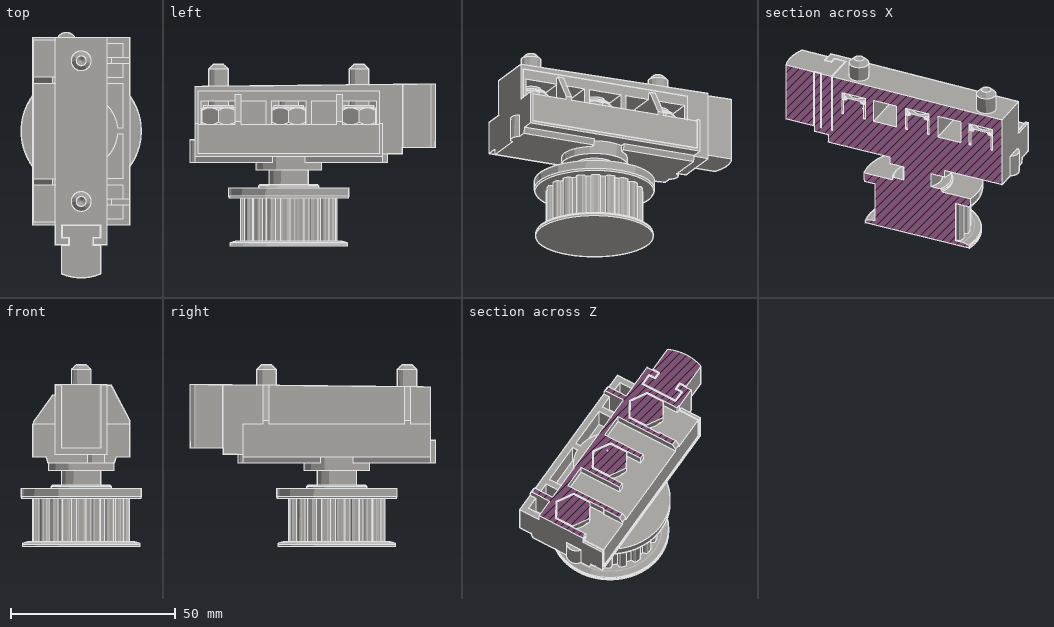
import cadquery as cq
import math


LOWER_FLANGE_RADIUS = 17.9
LOWER_FLANGE_EDGE = 0.7
LOWER_FLANGE_SHOULDER = 1.1
LOWER_FLANGE_SHOULDER_RADIUS = 17.75
LOWER_FLANGE_HEIGHT = 1.65
LOWER_FLANGE_FLAT_RADIUS = 15.8
TOOTH_COUNT = 19
TOOTH_TIP_RADIUS = 14.73
TOOTH_DEPTH = 1.3
TOOTH_GAP_FLOOR = 1.5
TOOTH_FLANK_ANGLE = 25.0
TOOTH_TIP_ROUND = 0.4
RIM_OVERLAP = 1.0
TEETH_TOP = 14.6
UPPER_FLANGE_RADIUS = 36.6 / 2
UPPER_FLANGE_TOP = 17.75
UPPER_FLANGE_BEVEL_SIDE = 0.25
UPPER_FLANGE_BEVEL_HEIGHT = 0.6
HUB_RADIUS = 9.18
HUB_TOP = 18.7
HUB_CHAMFER = 0.4
SHAFT_RADIUS = 12.0 / 2
COLLAR_BOTTOM = 23.1
COLLAR_RADIUS = 20.0 / 2

KEEL_BOTTOM = 25.4
KEEL_BOTTOM_HALF_WIDTH = 10.1
KEEL_TOP_HALF_WIDTH = 10.65
KEEL_GAP = 9.9
BASE_BOTTOM = 27.2
BASE_TOP = 37.3
BASE_HALF_WIDTH = 14.75
BASE_HALF_LENGTH = 28.5

RECESS_DEPTH = 0.25
RECESS_BOTTOM = 28.1
RECESS_TOP = 47.2
RECESS_HALF_LENGTH = 27.6
LEDGE_TOP = 36.9

BLOCK_HALF_WIDTH = 7.9
BLOCK_FRONT = -34.5
BLOCK_BOTTOM = 28.05
TOP_AT_BACK = 48.55
TOP_SLOPE = math.tan(math.radians(0.6))

WINDOW_TOP = 44.1
PLAIN_WINDOW_BACK = 6.0
NUT_WINDOW_WIDTH = 10.5
PLAIN_WINDOW_WIDTH = 7.55

BOLT_OFFSET = 21.35
PIN_POSITIONS = (-BOLT_OFFSET, BOLT_OFFSET)
BOLT_POSITIONS = (-BOLT_OFFSET, 0, BOLT_OFFSET)
PIN_RADIUS = 6.0 / 2
PIN_TOP = 55.3
PIN_CHAMFER = 1.5
PIN_CENTRE_DEPTH = 1.0
NUT_ACROSS_FLATS = 10.1
NUT_TOP = 42.0
NUT_CORNER_CUT = 0.75
WASHER_RADIUS = 9.18 / 2
WASHER_TOP = 42.8
WASHER_STEP = 42.35
WASHER_UPPER_RADIUS = 4.5

RIB_THICKNESS = 1.85
LEFT_RIB_OFFSET = 15.45
LEFT_RIB_TOP = 46.1
LEFT_RIB_FLAT_X = -8.64
LEFT_RIB_FOOT = 37.9
RIGHT_RIB_OFFSET = 21.45
RIGHT_RIB_FLAT_X = 9.2
RIGHT_RIB_FOOT = 38.4

POCKET_OUTER_X = 12.7
POCKET_FLOOR = 30.05
POCKET_END = 26.6
POCKET_INNER_WALL = 16.35
POCKET_CENTRE_END = 14.4
POCKET_CENTRE_RIB = 1.8
SOCKET_RADIUS = 11.1

SLIDER_HALF_WIDTH = 6.0
SLIDER_BOTTOM = 29.95
SLIDER_TIP = -44.58
SLIDER_CORNER = -43.3
SLIDER_CORNER_ROUND = 0.4
SLIDER_GAP = 0.2
TEE_BACK = -28.7
TEE_HEAD_FRONT = -32.25
TEE_HEAD_HALF_WIDTH = 5.75
TEE_NECK_HALF_WIDTH = 3.6

END_PIN_RADIUS = 3.0
END_PIN_X = 4.5
END_PIN_Y = 27.0
END_PIN_TOP = 32.4


def box(x_low, x_high, y_low, y_high, z_low, z_high):
    """Box between two limits along each axis."""
    size = (x_high - x_low, y_high - y_low, z_high - z_low)
    return cq.Workplane("XY").box(*size, centered=False).translate((x_low, y_low, z_low))


def cylinder(radius, z_low, z_high, x=0.0, y=0.0):
    """Upright cylinder centred on (x, y)."""
    return cq.Workplane("XY", origin=(x, y, z_low)).circle(radius).extrude(z_high - z_low)


def hexagonal_prism(across_flats, y, bottom, height):
    """Upright hexagonal prism at x = 0 with its corners pointing along X."""
    corner_diameter = 2 * across_flats / math.sqrt(3)
    return cq.Workplane("XY", origin=(0, y, bottom)).polygon(6, corner_diameter).extrude(height)


def across_x(points, half_width):
    """Profile of (y, z) points extruded symmetrically in X."""
    return cq.Workplane("YZ").polyline(points).close().extrude(half_width, both=True)


def across_y(points, y, thickness):
    """Profile of (x, z) points extruded symmetrically about the given y."""
    profile = cq.Workplane("XZ", origin=(0, y, 0)).polyline(points).close()
    return profile.extrude(thickness / 2, both=True)


def top_height(y):
    """Height of the sloping top at the given y."""
    return TOP_AT_BACK + (BASE_HALF_LENGTH - y) * TOP_SLOPE


def below_sloping_top(y_low, y_high, half_width, bottom):
    """Solid from a level bottom up to the sloping top."""
    points = [
        (y_low, bottom),
        (y_high, bottom),
        (y_high, top_height(y_high)),
        (y_low, top_height(y_low)),
    ]
    return across_x(points, half_width)


def make_toothed_rim():
    floor_radius = TOOTH_TIP_RADIUS - TOOTH_DEPTH
    cut_radius = TOOTH_TIP_RADIUS + RIM_OVERLAP
    floor_half = TOOTH_GAP_FLOOR / 2
    mouth_half = floor_half + (cut_radius - floor_radius) * math.tan(math.radians(TOOTH_FLANK_ANGLE))
    gap = (
        cq.Workplane("XY")
        .polyline([
            (-floor_half, floor_radius),
            (floor_half, floor_radius),
            (mouth_half, cut_radius),
            (-mouth_half, cut_radius),
        ])
        .close()
        .extrude(TEETH_TOP)
    )
    rim = cylinder(TOOTH_TIP_RADIUS, 0, TEETH_TOP)
    for index in range(TOOTH_COUNT):
        rim = rim.cut(gap.rotate((0, 0, 0), (0, 0, 1), index * 360 / TOOTH_COUNT))

    def is_tip_corner(edge):
        centre = edge.Center()
        return math.hypot(centre.x, centre.y) > (floor_radius + TOOTH_TIP_RADIUS) / 2

    return rim.edges("|Z").filter(is_tip_corner).fillet(TOOTH_TIP_ROUND)


def make_pulley():
    """Flanges, hub, shaft and collar turned about Z, plus the toothed rim."""
    core_radius = TOOTH_TIP_RADIUS - TOOTH_DEPTH - RIM_OVERLAP
    turned = (
        cq.Workplane("XZ")
        .polyline([
            (0, 0),
            (LOWER_FLANGE_RADIUS, 0),
            (LOWER_FLANGE_RADIUS, LOWER_FLANGE_EDGE),
            (LOWER_FLANGE_SHOULDER_RADIUS, LOWER_FLANGE_SHOULDER),
            (LOWER_FLANGE_FLAT_RADIUS, LOWER_FLANGE_HEIGHT),
            (core_radius, LOWER_FLANGE_HEIGHT),
            (core_radius, TEETH_TOP),
            (UPPER_FLANGE_RADIUS - UPPER_FLANGE_BEVEL_SIDE, TEETH_TOP),
            (UPPER_FLANGE_RADIUS, TEETH_TOP + UPPER_FLANGE_BEVEL_HEIGHT),
            (UPPER_FLANGE_RADIUS, UPPER_FLANGE_TOP),
            (HUB_RADIUS, UPPER_FLANGE_TOP),
            (HUB_RADIUS, HUB_TOP - HUB_CHAMFER),
            (HUB_RADIUS - HUB_CHAMFER, HUB_TOP),
            (SHAFT_RADIUS, HUB_TOP),
            (SHAFT_RADIUS, COLLAR_BOTTOM),
            (COLLAR_RADIUS, COLLAR_BOTTOM),
            (COLLAR_RADIUS, BASE_BOTTOM),
            (0, BASE_BOTTOM),
        ])
        .close()
        .revolve(360, (0, 0, 0), (0, 1, 0))
    )
    return turned.union(make_toothed_rim())


def make_base():
    keel = across_y(
        [
            (-KEEL_BOTTOM_HALF_WIDTH, KEEL_BOTTOM),
            (KEEL_BOTTOM_HALF_WIDTH, KEEL_BOTTOM),
            (KEEL_TOP_HALF_WIDTH, BASE_BOTTOM),
            (-KEEL_TOP_HALF_WIDTH, BASE_BOTTOM),
        ],
        0,
        2 * BASE_HALF_LENGTH,
    )
    keel = keel.cut(
        box(-BASE_HALF_WIDTH, BASE_HALF_WIDTH, -KEEL_GAP / 2, KEEL_GAP / 2, KEEL_BOTTOM, BASE_BOTTOM)
    )
    tray = box(
        -BASE_HALF_WIDTH, BASE_HALF_WIDTH,
        -BASE_HALF_LENGTH, BASE_HALF_LENGTH,
        BASE_BOTTOM, BASE_TOP,
    )
    return tray.union(keel)


def make_block():
    return below_sloping_top(BLOCK_FRONT, BASE_HALF_LENGTH, BLOCK_HALF_WIDTH, BLOCK_BOTTOM)


def cut_side_recess(body):
    """Set the ledge and the block face back inside a thin frame on the -X side."""
    recess_sides = (
        (BASE_HALF_WIDTH, RECESS_BOTTOM, BASE_TOP),
        (BLOCK_HALF_WIDTH, LEDGE_TOP, RECESS_TOP),
    )
    for half_width, z_low, z_high in recess_sides:
        body = body.cut(
            box(
                -half_width, RECESS_DEPTH - half_width,
                -RECESS_HALF_LENGTH, RECESS_HALF_LENGTH,
                z_low, z_high,
            )
        )
    ledge_clearance = box(
        -BASE_HALF_WIDTH, -BLOCK_HALF_WIDTH,
        -RECESS_HALF_LENGTH, RECESS_HALF_LENGTH,
        LEDGE_TOP, BASE_TOP,
    )
    return body.cut(ledge_clearance)


def cut_windows(body):
    """Nut traps with hexagonal ends, and a plain window beside each left rib."""
    height = WINDOW_TOP - LEDGE_TOP
    for y in BOLT_POSITIONS:
        half = NUT_WINDOW_WIDTH / 2
        entry = box(-BLOCK_HALF_WIDTH, 0, y - half, y + half, LEDGE_TOP, WINDOW_TOP)
        trap_end = hexagonal_prism(NUT_WINDOW_WIDTH, y, LEDGE_TOP, height)
        body = body.cut(entry).cut(trap_end)
    rib_face = LEFT_RIB_OFFSET - RIB_THICKNESS / 2
    for y_low in (-rib_face, rib_face - PLAIN_WINDOW_WIDTH):
        y_high = y_low + PLAIN_WINDOW_WIDTH
        body = body.cut(
            box(-BLOCK_HALF_WIDTH, PLAIN_WINDOW_BACK, y_low, y_high, LEDGE_TOP, WINDOW_TOP)
        )
    return body


def cut_pockets(body):
    """Open-topped pockets between the block and the +X wall."""
    spans = (
        (POCKET_INNER_WALL, POCKET_END),
        (POCKET_CENTRE_RIB / 2, POCKET_CENTRE_END),
        (-POCKET_CENTRE_END, -POCKET_CENTRE_RIB / 2),
        (-POCKET_END, -POCKET_INNER_WALL),
    )
    socket = cylinder(SOCKET_RADIUS, POCKET_FLOOR, BASE_TOP)
    for y_low, y_high in spans:
        pocket = box(BLOCK_HALF_WIDTH, POCKET_OUTER_X, y_low, y_high, POCKET_FLOOR, BASE_TOP)
        body = body.cut(pocket.cut(socket))
    return body


def make_ribs():
    left_outer_x = RECESS_DEPTH - BASE_HALF_WIDTH
    ribs = cq.Workplane("XY")
    for side in (-1, 1):
        left_points = [
            (RECESS_DEPTH - BLOCK_HALF_WIDTH, LEDGE_TOP),
            (left_outer_x, LEDGE_TOP),
            (left_outer_x, LEFT_RIB_FOOT),
            (LEFT_RIB_FLAT_X, LEFT_RIB_TOP),
            (RECESS_DEPTH - BLOCK_HALF_WIDTH, LEFT_RIB_TOP),
        ]
        right_y = side * RIGHT_RIB_OFFSET
        right_points = [
            (BLOCK_HALF_WIDTH, POCKET_FLOOR),
            (BASE_HALF_WIDTH, POCKET_FLOOR),
            (BASE_HALF_WIDTH, RIGHT_RIB_FOOT),
            (RIGHT_RIB_FLAT_X, top_height(right_y)),
            (BLOCK_HALF_WIDTH, top_height(right_y)),
        ]
        ribs = ribs.add(across_y(left_points, side * LEFT_RIB_OFFSET, RIB_THICKNESS))
        ribs = ribs.add(across_y(right_points, right_y, RIB_THICKNESS))
    return ribs.combine()


def make_nut(y):
    """Hexagon nut with its corners turned off at both ends, washer and stud."""
    corner_radius = NUT_ACROSS_FLATS / math.sqrt(3)
    hexagon = hexagonal_prism(NUT_ACROSS_FLATS, y, LEDGE_TOP, NUT_TOP - LEDGE_TOP)
    envelope = cylinder(corner_radius, LEDGE_TOP, NUT_TOP, y=y)
    envelope = envelope.faces("<Z or >Z").chamfer(NUT_CORNER_CUT)
    washer = cylinder(WASHER_RADIUS, NUT_TOP, WASHER_STEP, y=y)
    washer = washer.union(cylinder(WASHER_UPPER_RADIUS, WASHER_STEP, WASHER_TOP, y=y))
    stud = cylinder(PIN_RADIUS, LEDGE_TOP, WINDOW_TOP, y=y)
    return hexagon.intersect(envelope).union(washer).union(stud)


def make_guide_pin(y):
    """Pin standing on the block, with a conical tip and a conical centre hole."""
    tip_radius = PIN_RADIUS - PIN_CHAMFER
    return (
        cq.Workplane("XZ", origin=(0, y, 0))
        .polyline([
            (0, RECESS_TOP),
            (PIN_RADIUS, RECESS_TOP),
            (PIN_RADIUS, PIN_TOP - PIN_CHAMFER),
            (tip_radius, PIN_TOP),
            (0, PIN_TOP - PIN_CENTRE_DEPTH),
        ])
        .close()
        .revolve(360, (0, 0, 0), (0, 1, 0))
    )


def make_tee(clearance):
    """T-shaped key in the block front, enlarged all round by the clearance."""
    bottom = SLIDER_BOTTOM
    head = below_sloping_top(
        TEE_HEAD_FRONT - clearance, TEE_BACK + clearance, TEE_HEAD_HALF_WIDTH + clearance, bottom
    )
    neck = below_sloping_top(
        BLOCK_FRONT - SLIDER_GAP, TEE_HEAD_FRONT, TEE_NECK_HALF_WIDTH + clearance, bottom
    )
    return head.union(neck)


def make_slider():
    """Key and a knob with a rounded front."""
    knob_back = BLOCK_FRONT - SLIDER_GAP
    outline = (
        cq.Workplane("XY", origin=(0, 0, SLIDER_BOTTOM))
        .moveTo(-SLIDER_HALF_WIDTH, knob_back)
        .lineTo(-SLIDER_HALF_WIDTH, SLIDER_CORNER)
        .threePointArc((0, SLIDER_TIP), (SLIDER_HALF_WIDTH, SLIDER_CORNER))
        .lineTo(SLIDER_HALF_WIDTH, knob_back)
        .close()
        .extrude(PIN_TOP - SLIDER_BOTTOM)
        .edges("|Z")
        .edges("<Y")
        .fillet(SLIDER_CORNER_ROUND)
    )
    envelope = below_sloping_top(SLIDER_TIP, knob_back, SLIDER_HALF_WIDTH, SLIDER_BOTTOM)
    return outline.intersect(envelope).union(make_tee(0))


def make_end_pins():
    pins = cylinder(END_PIN_RADIUS, KEEL_BOTTOM, END_PIN_TOP, -END_PIN_X, END_PIN_Y)
    return pins.union(cylinder(END_PIN_RADIUS, KEEL_BOTTOM, BLOCK_BOTTOM, END_PIN_X, -END_PIN_Y))


body = make_base().union(make_block())
body = cut_side_recess(body)
body = cut_windows(body)
body = cut_pockets(body)
body = body.union(make_ribs())
for bolt_y in BOLT_POSITIONS:
    body = body.union(make_nut(bolt_y))
for pin_y in PIN_POSITIONS:
    body = body.union(make_guide_pin(pin_y))
body = body.cut(make_tee(SLIDER_GAP)).union(make_slider())
body = body.union(make_end_pins())
result = body.union(make_pulley())